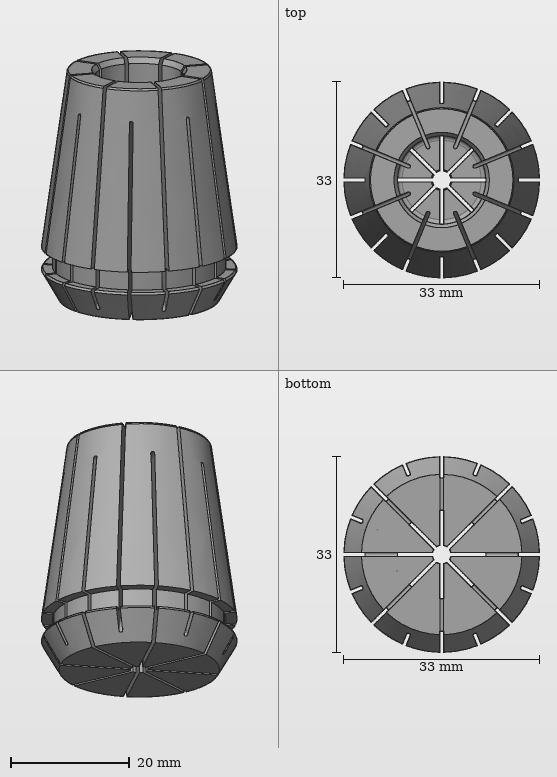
import cadquery as cq
import math

height = 40.0
max_radius = 33.0 / 2

nose_bottom_radius = 13.5
nose_rim_height = 5.1
nose_top_height = 5.5
nose_bevel = 0.25

groove_radius = 14.65
groove_top_height = 9.1

taper_angle = 8.0
top_bevel_width = 0.2
top_bevel_height = 0.3

grip_radius = 1.55
grip_bevel = 0.2
relief_radius = 7.45
relief_floor_height = height / 2
relief_floor_fillet = 0.75
relief_mouth_radius = 8.05
relief_mouth_depth = 0.95

slots_per_set = 8
slot_pitch = 360.0 / slots_per_set
slot_width = 0.65
slot_overrun = 2.0
lower_slot_end = 34.5

upper_slot_root_height = 1.55
upper_slot_inner_radius = 5.7
nose_flare = (max_radius - nose_bottom_radius) / nose_rim_height
upper_slot_root_radius = nose_bottom_radius + upper_slot_root_height * nose_flare
root_run = upper_slot_root_radius - upper_slot_inner_radius
root_rise = relief_floor_height - upper_slot_root_height
root_slope = math.atan2(root_rise, root_run)


def collet_body():
    """Revolve the full wall section, including the bores, about Z."""
    bevel_base = height - top_bevel_height
    taper_rise = bevel_base - groove_top_height
    taper_top_radius = max_radius - taper_rise * math.tan(math.radians(taper_angle))
    fillet_shift = relief_floor_fillet * (1 - math.sqrt(0.5))
    section = (
        cq.Workplane("XZ")
        .moveTo(grip_radius, 0)
        .lineTo(nose_bottom_radius, 0)
        .lineTo(max_radius, nose_rim_height)
        .lineTo(max_radius - nose_bevel, nose_top_height)
        .lineTo(groove_radius, nose_top_height)
        .lineTo(groove_radius, groove_top_height)
        .lineTo(max_radius, groove_top_height)
        .lineTo(taper_top_radius, bevel_base)
        .lineTo(taper_top_radius - top_bevel_width, height)
        .lineTo(relief_mouth_radius, height)
        .lineTo(relief_radius, height - relief_mouth_depth)
        .lineTo(relief_radius, relief_floor_height + relief_floor_fillet)
        .threePointArc(
            (relief_radius - fillet_shift, relief_floor_height + fillet_shift),
            (relief_radius - relief_floor_fillet, relief_floor_height),
        )
        .lineTo(grip_radius + grip_bevel, relief_floor_height)
        .lineTo(grip_radius, relief_floor_height - grip_bevel)
        .close()
    )
    return section.revolve(360, (0, 0), (0, 1))


def lower_slot_cutter(angle):
    """Radial slot open at the nose, reaching through to the axis, with a half-round upper end."""
    half_width = slot_width / 2
    arc_base = lower_slot_end - half_width
    outline = (
        cq.Workplane("YZ")
        .moveTo(-half_width, -slot_overrun)
        .lineTo(-half_width, arc_base)
        .threePointArc((0, lower_slot_end), (half_width, arc_base))
        .lineTo(half_width, -slot_overrun)
        .close()
    )
    cutter = outline.extrude(max_radius + slot_overrun)
    return cutter.rotate((0, 0, 0), (0, 0, 1), angle)


def upper_slot_cutter(angle):
    """Radial slot open at the top, with a half-round root that slopes down toward the outside."""
    half_width = slot_width / 2
    inner_radius = upper_slot_inner_radius - slot_overrun
    outer_radius = max_radius + slot_overrun
    top = height + slot_overrun

    def root_axis_height(radius):
        root_height = relief_floor_height - (radius - upper_slot_inner_radius) * math.tan(root_slope)
        return root_height + half_width / math.cos(root_slope)

    blade = (
        cq.Workplane("XZ")
        .moveTo(inner_radius, root_axis_height(inner_radius))
        .lineTo(outer_radius, root_axis_height(outer_radius))
        .lineTo(outer_radius, top)
        .lineTo(inner_radius, top)
        .close()
        .extrude(half_width, both=True)
    )
    rounded_root = cq.Workplane(
        cq.Solid.makeCylinder(
            half_width,
            (outer_radius - inner_radius) / math.cos(root_slope),
            cq.Vector(inner_radius, 0, root_axis_height(inner_radius)),
            cq.Vector(math.cos(root_slope), 0, -math.sin(root_slope)),
        )
    )
    return blade.union(rounded_root).rotate((0, 0, 0), (0, 0, 1), angle)


result = collet_body()
for index in range(slots_per_set):
    lower_angle = index * slot_pitch
    upper_angle = lower_angle + slot_pitch / 2
    result = result.cut(lower_slot_cutter(lower_angle))
    result = result.cut(upper_slot_cutter(upper_angle))